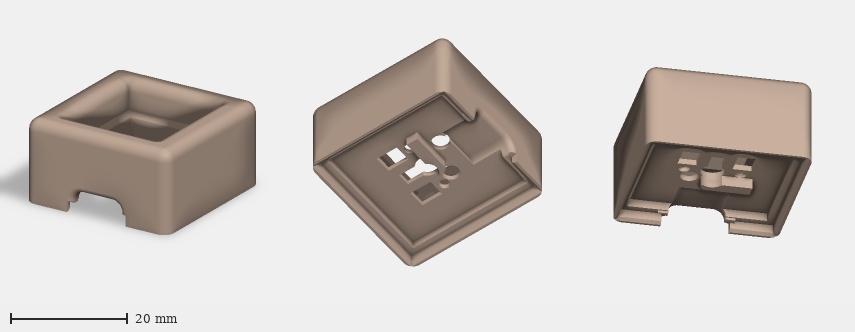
import cadquery as cq
side = 29.17
height = 15.39
outer_radius = 2.0
half = side / 2

cos_45 = 0.5 ** 0.5
pick_slack = 0.1

window_x = 18.5
window_y = 19.44
window_offset_y = 0.1
rim_radius = 2.0
ledge_z = 9.8

switch_side = 14.4
lip_thickness = 1.7
undercut = 1.15
floor_top = 4.44
floor_bottom = 3.46

cover_depth = 2.0
cover_wall = 1.0
cover_chamfer = 0.5
cavity_wall = 2.3

mouth_width = 12.0
mouth_top = 5.1
mouth_radius = 3.0
mouth_flare = 1.0
channel_end_y = -6.46

hanging_z = 1.58
block_left = -switch_side / 2
block_right = 1.62
block_front = -3.2
block_end_radius = 1.13
rib_length = 1.8
rib_thickness = 1.0
rib_setback = 0.8
rib_front_radius = 4.0

window_pair_size = (3.35, 4.25)
window_pair_x = 4.82
window_pair_y = 3.85
peg_diameter = 2.0
peg_x = 4.94
stem_y = 0.06
contact_diameter = 3.2
contact_points = [(-2.89, -4.95), (3.56, -2.35)]
stem_diameter = 4.2
key_slot_width = 2.5
key_slot_end = 5.15


def block(x0, x1, y0, y1, z0, z1):
    """Axis-aligned box between two opposite corners."""
    return cq.Workplane("XY").box(x1 - x0, y1 - y0, z1 - z0, centered=False).translate((x0, y0, z0))


def centred_block(size_x, size_y, z0, z1):
    """Box centred on the Z axis."""
    return block(-size_x / 2, size_x / 2, -size_y / 2, size_y / 2, z0, z1)


def rim_section(plane, foot_x):
    """Section of the rim flare, from its foot at foot_x out to the top face."""
    bend = rim_radius * (1 - cos_45)
    return (
        cq.Workplane(plane)
        .moveTo(foot_x, height)
        .lineTo(foot_x, height - rim_radius)
        .threePointArc((foot_x + bend, height - bend), (foot_x + rim_radius, height))
        .close()
    )


def make_window():
    """Rectangular window with a flared rim; the flare swings about each window corner."""
    window = centred_block(window_x, window_y, ledge_z, height)
    flare_x = rim_section("XZ", window_x / 2).extrude(window_y / 2, both=True)
    flare_y = rim_section("YZ", window_y / 2).extrude(window_x / 2, both=True)
    for flare in (flare_x, flare_x.mirror("YZ"), flare_y, flare_y.mirror("XZ")):
        window = window.union(flare)
    corner = rim_section("XZ", 0).revolve(360, (0, 0), (0, 1))
    for x in (-window_x / 2, window_x / 2):
        for y in (-window_y / 2, window_y / 2):
            window = window.union(corner.translate((x, y, 0)))
    return window.translate((0, window_offset_y, 0))


def make_shell():
    """Rounded outer body with the window cut down to the ledge."""
    body = centred_block(side, side, 0, height)
    body = body.edges("|Z").fillet(outer_radius)
    body = body.faces(">Z").edges().fillet(outer_radius)
    return body.cut(make_window())


def make_switch_pocket():
    """Square pocket that widens in Y below the clip lips."""
    pocket = centred_block(switch_side, switch_side, floor_top, ledge_z)
    widened = switch_side + 2 * undercut
    return pocket.union(centred_block(switch_side, widened, floor_top, ledge_z - lip_thickness))


def make_underside():
    """Cover recess with a chamfered entry, and the narrower cavity above it."""
    recess_side = side - 2 * cover_wall
    recess = centred_block(recess_side, recess_side, 0, cover_depth)
    entry_side = recess_side + 2 * cover_chamfer
    entry = (
        cq.Workplane("XY")
        .rect(entry_side, entry_side)
        .workplane(offset=cover_chamfer)
        .rect(recess_side, recess_side)
        .loft(ruled=True)
    )
    cavity_side = side - 2 * cavity_wall
    return recess.union(entry).union(centred_block(cavity_side, cavity_side, 0, floor_bottom))


def make_channel():
    """Arched cable channel, inset from the mouth by its flare, running in from the front face."""
    half_width = mouth_width / 2 - mouth_flare
    top = mouth_top - mouth_flare
    radius = mouth_radius - mouth_flare
    diagonal = radius * cos_45
    spring = top - radius
    flat = half_width - radius
    return (
        cq.Workplane("XZ", origin=(0, channel_end_y, 0))
        .moveTo(-half_width, 0)
        .lineTo(-half_width, spring)
        .threePointArc((-flat - diagonal, spring + diagonal), (-flat, top))
        .lineTo(flat, top)
        .threePointArc((flat + diagonal, spring + diagonal), (half_width, spring))
        .lineTo(half_width, 0)
        .close()
        .extrude(half + channel_end_y)
    )


def cut_mouth(body):
    """Cable channel through the front wall, flared outside and square below the cover line."""
    body = body.cut(make_channel())
    reach = mouth_width / 2
    front_zone = cq.selectors.BoxSelector(
        (-reach, -half - pick_slack, pick_slack),
        (reach, -half + pick_slack, mouth_top),
    )
    body = body.edges(front_zone).fillet(mouth_flare)
    return body.cut(block(-reach, reach, -half, -half + cavity_wall, 0, cover_depth))


def make_socket_block():
    """Bar under the floor with a full-round end on the +X side."""
    end_center_x = block_right - block_end_radius
    block_middle = block_front + block_end_radius
    block_back = block_front + 2 * block_end_radius
    return (
        cq.Workplane("XY", origin=(0, 0, hanging_z))
        .moveTo(block_left, block_front)
        .lineTo(end_center_x, block_front)
        .threePointArc((block_right, block_middle), (end_center_x, block_back))
        .lineTo(block_left, block_back)
        .close()
        .extrude(floor_bottom - hanging_z)
    )


def make_mouth_ribs():
    """Ribs under the front wall beside the mouth: straight on -X, curved in front on +X."""
    inner = mouth_width / 2 - mouth_flare
    outer = inner + rib_length
    front = -half + cover_wall
    back = front + rib_thickness
    curved_rib = (
        cq.Workplane("XY", origin=(0, 0, hanging_z))
        .moveTo(inner, back)
        .lineTo(inner, front)
        .radiusArc((outer, front + rib_setback), rib_front_radius)
        .lineTo(outer, back)
        .close()
        .extrude(cover_depth - hanging_z)
    )
    return curved_rib.union(block(-outer, -inner, front, back, hanging_z, cover_depth))


def make_floor_openings():
    """Everything that passes through the floor."""
    plane = cq.Workplane("XY")
    pair = [(-window_pair_x, window_pair_y), (window_pair_x, window_pair_y)]
    openings = plane.pushPoints(pair).rect(*window_pair_size).extrude(floor_top)
    pegs = plane.pushPoints([(-peg_x, stem_y), (peg_x, stem_y)]).circle(peg_diameter / 2).extrude(floor_top)
    contacts = plane.pushPoints(contact_points).circle(contact_diameter / 2).extrude(floor_top)
    stem = plane.center(0, stem_y).circle(stem_diameter / 2).extrude(floor_top)
    key_slot = block(-key_slot_width / 2, key_slot_width / 2, 0, key_slot_end, 0, floor_top)
    return openings.union(pegs).union(contacts).union(stem).union(key_slot)


result = make_shell().cut(make_switch_pocket())
result = cut_mouth(result)
result = result.cut(make_underside())
result = result.union(make_socket_block()).union(make_mouth_ribs())
result = result.cut(make_floor_openings())